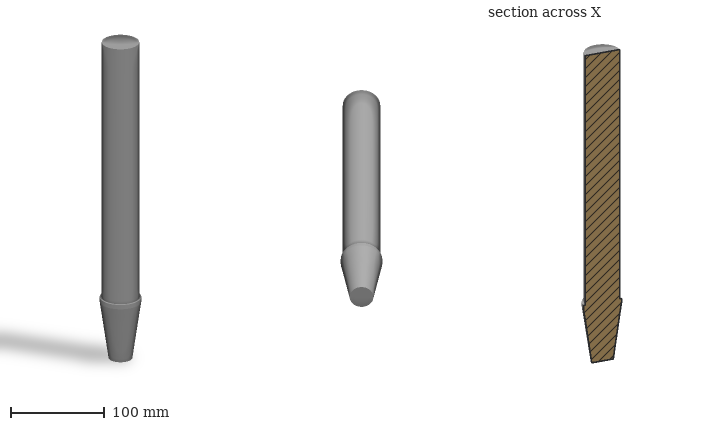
import cadquery as cq

overall_length = 365.4
collar_diameter = 44.45
shaft_diameter = 40.0
tip_diameter = 25.4
taper_length = 65.4
collar_height = 5.0

collar_radius = collar_diameter / 2
shaft_radius = shaft_diameter / 2
tip_radius = tip_diameter / 2
collar_top = taper_length + collar_height


def turned_body():
    """Revolve the half profile: tapered tip, short collar, straight shaft.

    The profile lies on the -X side of the axis, so the seam of every
    turned face faces -X.
    """
    return (
        cq.Workplane("XZ")
        .moveTo(0, 0)
        .lineTo(-tip_radius, 0)
        .lineTo(-collar_radius, taper_length)
        .lineTo(-collar_radius, collar_top)
        .lineTo(-shaft_radius, collar_top)
        .lineTo(-shaft_radius, overall_length)
        .lineTo(0, overall_length)
        .close()
        .revolve(360, (0, 0, 0), (0, 1, 0))
    )


result = turned_body()